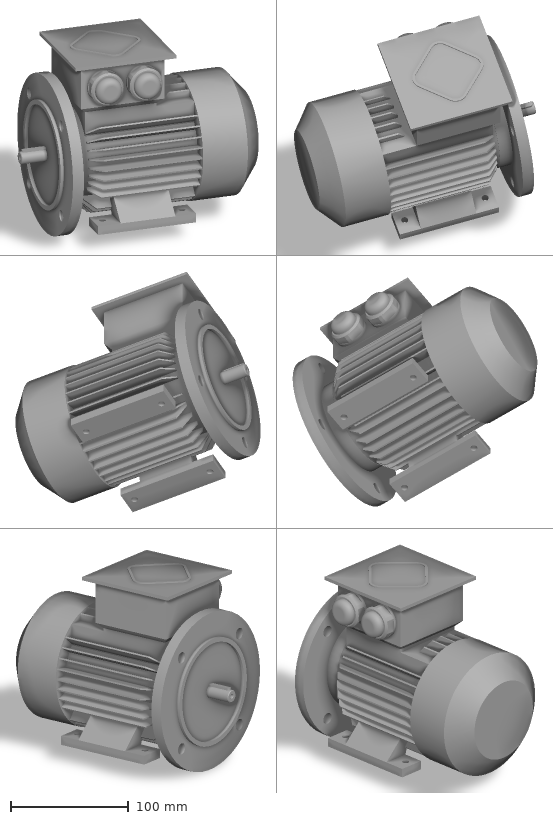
import cadquery as cq
import math


SHAFT_DIA = 11.0
SHAFT_LENGTH = 23.0
SHAFT_CHAMFER = 0.6
KEY_WIDTH = 4.0
KEY_TOP = 7.1
KEY_END_GAP = 1.8
KEY_CORNER_RADIUS = 1.8
CENTRE_HOLE_DIA = 3.2
CENTRE_HOLE_DEPTH = 6.0
CENTRE_HOLE_CHAMFER = 0.5

FLANGE_DIA = 140.0
FLANGE_THICKNESS = 10.0
FLANGE_HOLE_DIA = 10.0
FLANGE_HOLE_CIRCLE_DIA = 115.3
FLANGE_HOLE_COUNT = 4
FLANGE_HOLE_FIRST_ANGLE = 45
SPIGOT_DIA = 95.0
SPIGOT_HEIGHT = 3.0
SPIGOT_RECESS_DIA = 87.0
COLLAR_DIA = 83.0
COLLAR_BACK = 21.1

OVERALL_LENGTH = 203.0
CORE_DIA = 82.0
COWL_DIA = 110.0
COWL_END_DIA = 70.5
COWL_FRONT = 122.8
COWL_CONE_LENGTH = 16.8
FIN_TIP_RADIUS = 54.0
FIN_THICKNESS = 1.5
FIN_CHAMFER = 10.0
SIDE_FIN_ANGLES = (-60, -50, -30, -20, -10, 0, 10, 20, 30, 40)
UPRIGHT_FINS_PER_SIDE = 2
UPRIGHT_FIN_PITCH = 10.0
TOP_FIN_FRONT = 99.0
TOP_FIN_CHAMFER = 5.7

BOX_CENTRE_Y = 56.6
BOX_SIDE = 75.0
BOX_TAPER = 5.0
BOX_BOTTOM = 52.4
LID_SIDE = 91.0
LID_BOTTOM = 91.0
LID_TOP = 94.0
PEDESTAL_REAR_TOP = 44.0
BADGE_TOP = 95.0
BADGE_SIDE = 50.1
BADGE_CORNER_RADIUS = 10.4
BADGE_BAND = 2.2
BADGE_OFFSET_Y = -2.5

GLAND_Z = 71.7
GLAND_SPACING = 35.0
GLAND_NUT_DIA = 29.5
GLAND_NUT_FLATS = 27.0
GLAND_FLATS_END = 10.0
GLAND_NUT_END = 11.8
GLAND_NUT_CHAMFER = 1.6
GLAND_FLATS_START = 2.5
GLAND_CAP_DIA = 23.3
GLAND_CAP_END = 19.0
GLAND_CAP_ROUND = 5.5

FOOT_BOTTOM = -55.8
FOOT_THICKNESS = 8.0
FOOT_OUTER_X = 57.5
FOOT_WIDTH = 22.7
FOOT_FRONT = 27.2
FOOT_LENGTH = 88.5
FOOT_HOLE_DIA = 5.9
FOOT_HOLE_X = 44.9
FOOT_HOLE_INSET = 8.3
WEB_FRONT = 47.5
WEB_LENGTH = 49.5
WEB_RISE = 32.5

SHAFT_END = -SHAFT_LENGTH
COWL_BACK = OVERALL_LENGTH - SHAFT_LENGTH
SPIGOT_FACE = -SPIGOT_HEIGHT
PEDESTAL_SIDE = BOX_SIDE - 2 * BOX_TAPER
PEDESTAL_TOP = BOX_BOTTOM - BOX_TAPER
BODY_FRONT = BOX_CENTRE_Y - PEDESTAL_SIDE / 2


def cylinder_y(diameter, front, back):
    """Cylinder on the shaft axis between two Y positions."""
    return cq.Workplane("XZ", origin=(0, front, 0)).circle(diameter / 2).extrude(front - back)


def block(x_range, y_range, z_range):
    """Axis-aligned box given by its limits along X, Y and Z."""
    limits = (x_range, y_range, z_range)
    sizes = [high - low for low, high in limits]
    corner = [low for low, high in limits]
    return cq.Workplane("XY").box(*sizes, centered=False).translate(tuple(corner))


def make_flange():
    flange = cylinder_y(FLANGE_DIA, 0, FLANGE_THICKNESS)
    flange = flange.union(cylinder_y(SPIGOT_DIA, SPIGOT_FACE, 0))
    flange = flange.cut(cylinder_y(SPIGOT_RECESS_DIA, SPIGOT_FACE, 0))
    holes = (
        cq.Workplane("XZ")
        .polarArray(FLANGE_HOLE_CIRCLE_DIA / 2, FLANGE_HOLE_FIRST_ANGLE, 360, FLANGE_HOLE_COUNT)
        .circle(FLANGE_HOLE_DIA / 2)
        .extrude(-FLANGE_THICKNESS)
    )
    return flange.cut(holes).union(cylinder_y(COLLAR_DIA, FLANGE_THICKNESS, COLLAR_BACK))


def make_shaft():
    shaft = cylinder_y(SHAFT_DIA, SHAFT_END, FLANGE_THICKNESS).faces("<Y").chamfer(SHAFT_CHAMFER)
    key_end = SHAFT_END + KEY_END_GAP
    key = block((-KEY_WIDTH / 2, KEY_WIDTH / 2), (key_end, FLANGE_THICKNESS), (0, KEY_TOP))
    key = key.edges("|Z and <Y").fillet(KEY_CORNER_RADIUS)
    hole = cylinder_y(CENTRE_HOLE_DIA, SHAFT_END, SHAFT_END + CENTRE_HOLE_DEPTH)
    shaft = shaft.cut(hole)
    hole_rim = shaft.faces("<Y").edges(cq.selectors.RadiusNthSelector(0))
    shaft = hole_rim.chamfer(CENTRE_HOLE_CHAMFER)
    return shaft.union(key)


def fin_envelope(front, chamfer):
    """Solid of revolution that trims the fins, with a cone at its front end."""
    return (
        cq.Workplane("XY")
        .moveTo(0, front)
        .lineTo(FIN_TIP_RADIUS - chamfer, front)
        .lineTo(FIN_TIP_RADIUS, front + chamfer)
        .lineTo(FIN_TIP_RADIUS, COWL_FRONT)
        .lineTo(0, COWL_FRONT)
        .close()
        .revolve(360, (0, 0), (0, 1))
    )


def make_side_fins():
    """Radial fins on both sides of the body."""
    blank = block(
        (0, FIN_TIP_RADIUS),
        (BODY_FRONT, COWL_FRONT),
        (-FIN_THICKNESS / 2, FIN_THICKNESS / 2),
    )
    fins = cq.Workplane("XY")
    for angle in SIDE_FIN_ANGLES:
        for turn in (-angle, angle - 180):
            fins = fins.union(blank.rotate((0, 0, 0), (0, 1, 0), turn))
    return fins.intersect(fin_envelope(BODY_FRONT, FIN_CHAMFER))


def make_upright_fins(z_range, front, chamfer):
    """Parallel vertical fins, one in the middle and the same number on each side."""
    fins = cq.Workplane("XY")
    for index in range(-UPRIGHT_FINS_PER_SIDE, UPRIGHT_FINS_PER_SIDE + 1):
        x = index * UPRIGHT_FIN_PITCH
        x_range = (x - FIN_THICKNESS / 2, x + FIN_THICKNESS / 2)
        fins = fins.union(block(x_range, (front, COWL_FRONT), z_range))
    return fins.intersect(fin_envelope(front, chamfer))


def make_body():
    body = cylinder_y(CORE_DIA, FLANGE_THICKNESS, COWL_FRONT)
    body = body.union(make_side_fins())
    body = body.union(make_upright_fins((0, FIN_TIP_RADIUS), TOP_FIN_FRONT, TOP_FIN_CHAMFER))
    return body.union(make_upright_fins((-FIN_TIP_RADIUS, 0), BODY_FRONT, FIN_CHAMFER))


def make_cowl():
    return (
        cq.Workplane("XY")
        .moveTo(0, COWL_FRONT)
        .lineTo(COWL_DIA / 2, COWL_FRONT)
        .lineTo(COWL_DIA / 2, COWL_BACK - COWL_CONE_LENGTH)
        .lineTo(COWL_END_DIA / 2, COWL_BACK)
        .lineTo(0, COWL_BACK)
        .close()
        .revolve(360, (0, 0), (0, 1))
    )


def square_at(side, z):
    """Square centred on the terminal box at a given height."""
    return cq.Workplane("XY", origin=(0, BOX_CENTRE_Y, z)).rect(side, side)


def make_badge():
    """Raised diamond-shaped frame with rounded corners on the lid."""
    height = BADGE_TOP - LID_TOP
    inner_side = BADGE_SIDE - 2 * BADGE_BAND
    inner_radius = BADGE_CORNER_RADIUS - BADGE_BAND
    outer = cq.Workplane("XY").rect(BADGE_SIDE, BADGE_SIDE).extrude(height)
    inner = cq.Workplane("XY").rect(inner_side, inner_side).extrude(height)
    frame = outer.edges("|Z").fillet(BADGE_CORNER_RADIUS).cut(inner.edges("|Z").fillet(inner_radius))
    frame = frame.rotate((0, 0, 0), (0, 0, 1), 45)
    return frame.translate((0, BOX_CENTRE_Y + BADGE_OFFSET_Y, LID_TOP))


def make_terminal_box():
    half = PEDESTAL_SIDE / 2
    pedestal = block((-half, half), (BODY_FRONT, BODY_FRONT + PEDESTAL_SIDE), (0, PEDESTAL_TOP))
    pedestal = pedestal.union(block((-half, half), (BODY_FRONT, COWL_FRONT), (0, PEDESTAL_REAR_TOP)))
    taper = (
        square_at(PEDESTAL_SIDE, PEDESTAL_TOP)
        .workplane(offset=BOX_TAPER)
        .rect(BOX_SIDE, BOX_SIDE)
        .loft(ruled=True)
    )
    box = square_at(BOX_SIDE, BOX_BOTTOM).extrude(LID_BOTTOM - BOX_BOTTOM)
    lid = square_at(LID_SIDE, LID_BOTTOM).extrude(LID_TOP - LID_BOTTOM)
    return pedestal.union(taper).union(box).union(lid).union(make_badge())


def make_gland(y):
    """Cable gland on the +X wall: a round nut with six flats and a rounded cap."""
    wall = cq.Workplane("YZ", origin=(BOX_SIDE / 2, y, GLAND_Z))
    nut = wall.circle(GLAND_NUT_DIA / 2).extrude(GLAND_NUT_END)
    nut = nut.faces(">X").chamfer(GLAND_NUT_CHAMFER)
    across_corners = GLAND_NUT_FLATS / math.cos(math.pi / 6)
    flats_plane = wall.workplane(offset=GLAND_FLATS_START)
    flats_length = GLAND_FLATS_END - GLAND_FLATS_START
    hexagon = flats_plane.transformed(rotate=(0, 0, 90)).polygon(6, across_corners).extrude(flats_length)
    trim = flats_plane.circle(across_corners).extrude(flats_length).cut(hexagon)
    cap = wall.circle(GLAND_CAP_DIA / 2).extrude(GLAND_CAP_END)
    cap = cap.faces(">X").edges().fillet(GLAND_CAP_ROUND)
    return nut.cut(trim).union(cap)


def make_foot():
    """Foot on the +X side: a drilled pad and a sloping web up to the body."""
    inner_x = FOOT_OUTER_X - FOOT_WIDTH
    pad_top = FOOT_BOTTOM + FOOT_THICKNESS
    foot_back = FOOT_FRONT + FOOT_LENGTH
    pad = block((inner_x, FOOT_OUTER_X), (FOOT_FRONT, foot_back), (FOOT_BOTTOM, pad_top))
    hole_points = [
        (FOOT_HOLE_X, FOOT_FRONT + FOOT_HOLE_INSET),
        (FOOT_HOLE_X, foot_back - FOOT_HOLE_INSET),
    ]
    holes = (
        cq.Workplane("XY", origin=(0, 0, FOOT_BOTTOM))
        .pushPoints(hole_points)
        .circle(FOOT_HOLE_DIA / 2)
        .extrude(FOOT_THICKNESS)
    )
    web = (
        cq.Workplane("XZ", origin=(0, WEB_FRONT, 0))
        .moveTo(inner_x, pad_top)
        .lineTo(FOOT_OUTER_X, pad_top)
        .lineTo(FOOT_OUTER_X - WEB_RISE, pad_top + WEB_RISE)
        .close()
        .extrude(-WEB_LENGTH)
    )
    return pad.cut(holes).union(web)


foot = make_foot()

result = make_flange().union(make_shaft()).union(make_body()).union(make_cowl())
result = result.union(make_terminal_box())
for side in (-1, 1):
    result = result.union(make_gland(BOX_CENTRE_Y + side * GLAND_SPACING / 2))
result = result.union(foot).union(foot.mirror("YZ"))